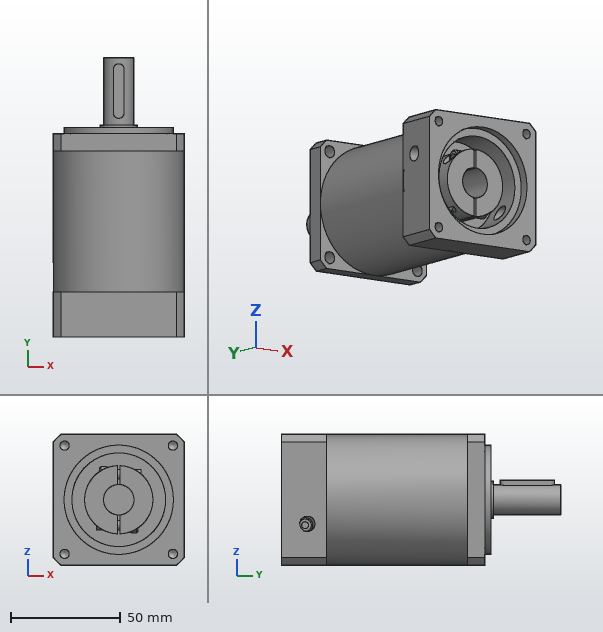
import cadquery as cq
import math


total_length = 128.0
shaft_length = 35.0
flange_thickness = 8.0
adapter_thickness = 20.6
pilot_height = 3.0
collar_height = 1.0
flange_outer_y = total_length - shaft_length
flange_inner_y = flange_outer_y - flange_thickness
pilot_end_y = flange_outer_y + pilot_height

plate_size = 60.0
corner_diameter = 80.0
bolt_spacing = 49.5
flange_hole_diameter = 5.5
motor_hole_diameter = 4.2
motor_hole_depth = 12.8
drill_tip_angle = 118.0

pilot_diameter = 50.0
collar_diameter = 17.0
shaft_diameter = 14.0
shaft_chamfer = 0.4
key_width = 5.0
key_length = 25.0
key_tip_gap = 3.0
key_top_z = 9.0

spigot_diameter = 50.0
spigot_depth = 4.5
cavity_diameter = 42.9
access_diameter = 6.9
access_y = 11.9
access_z = 11.0

hub_diameter = 31.2
hub_front_y = 6.0
hub_length = adapter_thickness - hub_front_y
bore_diameter = 14.0
bore_depth = 19.2
slit_width = 1.2

screw_y = 10.9
screw_z = 11.6
screw_diameter = 4.2
screw_tip_x = 10.2
head_diameter = 6.9
head_height = 4.0
head_top_x = -8.8
seat_x = head_top_x + head_height
head_chamfer = 0.6
socket_diameter = 3.2
socket_depth = 2.0


def y_cylinder(diameter, start_y, length):
    """Cylinder on the gearbox axis, running from start_y toward +Y."""
    plane = cq.Plane(origin=(0, start_y, 0), xDir=(1, 0, 0), normal=(0, 1, 0))
    return cq.Workplane(plane).circle(diameter / 2).extrude(length)


def x_cylinder(diameter, start_x, length, y, z):
    """Cylinder parallel to X, running from start_x toward +X."""
    plane = cq.Plane(origin=(start_x, y, z), xDir=(0, 1, 0), normal=(1, 0, 0))
    return cq.Workplane(plane).circle(diameter / 2).extrude(length)


def half_turn(shape):
    """Copy of a shape turned half a turn about the gearbox axis."""
    return shape.rotate((0, 0, 0), (0, 1, 0), 180)


def square_plate(start_y, thickness):
    square = cq.Workplane("XY").box(plate_size, thickness, plate_size)
    square = square.translate((0, start_y + thickness / 2, 0))
    return square.intersect(y_cylinder(corner_diameter, start_y, thickness))


def at_bolt_positions(tool):
    """The same tool at the four corners of the bolt pattern."""
    half = bolt_spacing / 2
    tools = cq.Workplane("XY")
    for x in (-half, half):
        for z in (-half, half):
            tools = tools.add(tool.translate((x, 0, z)))
    return tools.combine()


def motor_hole():
    """Blind drilled hole with a conical bottom, entering at Y = 0."""
    radius = motor_hole_diameter / 2
    tip_depth = motor_hole_depth + radius / math.tan(math.radians(drill_tip_angle / 2))
    half_profile = (
        cq.Workplane("XY")
        .polyline([(0, 0), (radius, 0), (radius, motor_hole_depth), (0, tip_depth)])
        .close()
    )
    return half_profile.revolve(360, (0, 0, 0), (0, 1, 0))


def output_shaft():
    shaft = y_cylinder(shaft_diameter, flange_outer_y, shaft_length)
    shaft = shaft.faces(">Y").chamfer(shaft_chamfer)
    collar = y_cylinder(collar_diameter, pilot_end_y, collar_height)
    key_center_y = total_length - key_tip_gap - key_length / 2
    key = (
        cq.Workplane("XY")
        .center(0, key_center_y)
        .slot2D(key_length, key_width, 90)
        .extrude(key_top_z)
    )
    return shaft.union(collar).union(key)


def clamp_screw():
    """Socket-head screw along X with its head on the -X side."""
    shank = x_cylinder(screw_diameter, seat_x, screw_tip_x - seat_x, screw_y, screw_z)
    head = x_cylinder(head_diameter, head_top_x, head_height, screw_y, screw_z)
    head = head.faces("<X").chamfer(head_chamfer)
    socket = x_cylinder(socket_diameter, head_top_x, socket_depth, screw_y, screw_z)
    return head.union(shank).cut(socket)


def clamp_hub():
    """Slit clamp hub for the motor shaft, with its two opposed clamp screws."""
    hub = y_cylinder(hub_diameter, hub_front_y, hub_length)
    hub = hub.cut(y_cylinder(bore_diameter, hub_front_y, hub_length))
    slit = cq.Workplane("XY").box(slit_width, hub_length, hub_diameter)
    hub = hub.cut(slit.translate((0, hub_front_y + hub_length / 2, 0)))

    counterbore = x_cylinder(head_diameter, -hub_diameter / 2, seat_x + hub_diameter / 2, screw_y, screw_z)
    screw = clamp_screw()
    for pocket in (counterbore, half_turn(counterbore)):
        hub = hub.cut(pocket)
    for fastener in (screw, half_turn(screw)):
        hub = hub.union(fastener)
    return hub


def mounting_flange():
    flange = square_plate(flange_inner_y, flange_thickness)
    flange_hole = y_cylinder(flange_hole_diameter, flange_inner_y, flange_thickness)
    return flange.cut(at_bolt_positions(flange_hole))


def make_gearbox():
    """Barrel with its mounting flange, pilot, keyed output shaft and input clamp hub."""
    barrel = y_cylinder(plate_size, adapter_thickness, flange_inner_y - adapter_thickness)
    barrel = barrel.cut(y_cylinder(bore_diameter, hub_front_y, bore_depth))
    pilot = y_cylinder(pilot_diameter, flange_outer_y, pilot_height)
    return barrel.union(mounting_flange()).union(pilot).union(output_shaft()).union(clamp_hub())


def make_motor_adapter():
    """Square plate around the hub, with a stepped opening, motor holes and screw access holes."""
    adapter = square_plate(0, adapter_thickness)
    adapter = adapter.cut(at_bolt_positions(motor_hole()))
    adapter = adapter.cut(y_cylinder(spigot_diameter, 0, spigot_depth))
    adapter = adapter.cut(y_cylinder(cavity_diameter, 0, adapter_thickness))
    access_hole = x_cylinder(access_diameter, -plate_size / 2, plate_size / 2, access_y, access_z)
    for hole in (access_hole, half_turn(access_hole)):
        adapter = adapter.cut(hole)
    return adapter


gearbox = make_gearbox()
motor_adapter = make_motor_adapter()

result = cq.Compound.makeCompound([gearbox.solids().val(), motor_adapter.solids().val()])